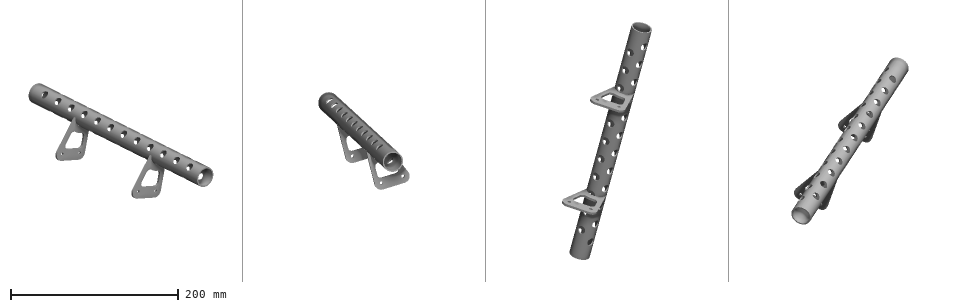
import cadquery as cq
import math

tube_length = 320.0
tube_diameter = 25.0
wall = 1.5
tube_radius = tube_diameter / 2
lean_y = -0.042
lean_z = 0.051

hole_diameter = 10.0
hole_row_span = 275.0
long_row_count = 12
short_row_count = 11
hole_pitch = hole_row_span / (long_row_count - 1)
long_row_start = 20.0
short_row_start = 31.0
long_row_angle = 50
short_row_angle = 126

plate_thickness = 3.0
plate_starts = [87.0, 231.0]
plate_turn = 15
corner_radius = 8.5
slant_angle = 23.3
bolt_diameter = 4.2
bolt_drop = 46.5
bolt_spacing = 27.3

window_margin = 5.8
window_rise = 5.8
window_top_radius = 21.0
window_fillet = 5.0

axis = cq.Vector(1, lean_y, lean_z).normalized()
plus_x_end = axis * (tube_length / 2)
section_x = cq.Vector(0, -1, 0) - axis * axis.dot(cq.Vector(0, -1, 0))

straight_bolt = (corner_radius - tube_radius, -bolt_drop)
slanted_bolt = (straight_bolt[0] + bolt_spacing, -bolt_drop)
slant_x = math.cos(math.radians(slant_angle))
slant_y = math.sin(math.radians(slant_angle))
slant_distance = slanted_bolt[0] * slant_x + slanted_bolt[1] * slant_y + corner_radius


def section_plane(distance):
    """Plane across the tube at a distance from its +X end."""
    return cq.Plane(origin=plus_x_end - axis * distance, xDir=section_x, normal=axis * -1)


def polar(radius, degrees, center=(0, 0)):
    angle = math.radians(degrees)
    return (center[0] + radius * math.cos(angle), center[1] + radius * math.sin(angle))


def slant_crossing(distance, radius):
    """Angle where a line parallel to the slanted edge meets a circle about the tube axis."""
    return slant_angle - math.degrees(math.acos(distance / radius))


def drill_row(body, start, count, angle):
    for i in range(count):
        plane = section_plane(start + i * hole_pitch)
        entry = plane.toWorldCoords(polar(tube_radius, angle))
        inward = plane.origin - entry
        drill = cq.Solid.makeCylinder(hole_diameter / 2, tube_diameter, entry, inward)
        body = body.cut(cq.Workplane(drill))
    return body


def make_tube():
    body = (
        cq.Workplane(section_plane(0))
        .circle(tube_radius)
        .circle(tube_radius - wall)
        .extrude(tube_length)
    )
    body = drill_row(body, long_row_start, long_row_count, long_row_angle)
    return drill_row(body, short_row_start, short_row_count, short_row_angle)


def make_plate_blank(plane):
    """Plate whose straight edge is tangent to the tube and whose top follows the tube."""
    bottom = -bolt_drop - corner_radius
    meet_angle = slant_crossing(slant_distance, tube_radius)
    return (
        cq.Workplane(plane)
        .moveTo(-tube_radius, 0)
        .lineTo(-tube_radius, -bolt_drop)
        .threePointArc(polar(corner_radius, -135, straight_bolt), (straight_bolt[0], bottom))
        .lineTo(slanted_bolt[0], bottom)
        .threePointArc(
            polar(corner_radius, (slant_angle - 90) / 2, slanted_bolt),
            polar(corner_radius, slant_angle, slanted_bolt),
        )
        .lineTo(*polar(tube_radius, meet_angle))
        .threePointArc(polar(tube_radius, (meet_angle - 180) / 2), (-tube_radius, 0))
        .close()
        .extrude(plate_thickness)
    )


def make_window(plane):
    """Rounded opening that follows the plate edges, with a top arc around the tube."""
    left = window_margin - tube_radius
    bottom = window_rise - bolt_drop
    inner_distance = slant_distance - window_margin
    bottom_right = (inner_distance - bottom * slant_y) / slant_x
    right_angle = slant_crossing(inner_distance, window_top_radius)
    left_angle = -math.degrees(math.acos(left / window_top_radius))
    return (
        cq.Workplane(plane)
        .moveTo(left, bottom)
        .lineTo(bottom_right, bottom)
        .lineTo(*polar(window_top_radius, right_angle))
        .threePointArc(
            polar(window_top_radius, (right_angle + left_angle) / 2),
            polar(window_top_radius, left_angle),
        )
        .close()
        .extrude(plate_thickness)
        .edges(cq.selectors.ParallelDirSelector(axis))
        .fillet(window_fillet)
    )


def make_plate(start):
    plane = section_plane(start).rotated((0, 0, plate_turn))
    bolt_holes = (
        cq.Workplane(plane)
        .pushPoints([straight_bolt, slanted_bolt])
        .circle(bolt_diameter / 2)
        .extrude(plate_thickness)
    )
    return make_plate_blank(plane).cut(bolt_holes).cut(make_window(plane))


tube = make_tube()
plates = [make_plate(start) for start in plate_starts]
result = cq.Compound.makeCompound([tube.solids().val(), *[plate.solids().val() for plate in plates]])